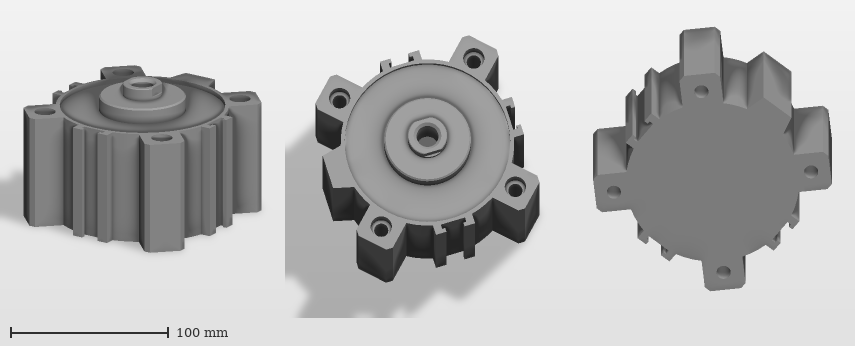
import cadquery as cq
import math

housing_height = 72.5
square_side = 120.0
barrel_diameter = 110.0

lug_width = 26.0
lug_reach = 75.0
bolt_spacing = 89.0
bolt_hole_diameter = 9.0
counterbore_diameter = 13.5
counterbore_depth = 8.5

rail_angles = (-90, 0, 90)
rail_width = 26.0
slot_opening = 12.0
slot_inner_width = 16.0
slot_depth = 5.5
slot_lip = 2.6

rib_reach = 66.0
rib_outer_width = 22.4
rib_side_angle = 14

recess_diameter = 105.0
recess_depth = 3.0
collar_diameter = 55.0
collar_rise = 7.0
collar_chamfer = 1.0

rod_diameter = 25.0
rod_rise = 8.0
rod_sunk_length = 37.8
rod_edge_chamfer = 0.5
flat_spacing = 22.0
flat_height = 5.5
rod_hole_diameter = 13.9
rod_hole_mouth_diameter = 17.5
rod_hole_depth = 25.2

collar_top = housing_height + collar_rise
rod_top = collar_top + rod_rise
rod_bottom = collar_top - rod_sunk_length
recess_floor = housing_height - recess_depth
half_side = square_side / 2
mouth_depth = (rod_hole_mouth_diameter - rod_hole_diameter) / 2


def cylinder(diameter, bottom, top):
    return cq.Workplane("XY").workplane(offset=bottom).circle(diameter / 2).extrude(top - bottom)


def make_lugs():
    """Two diagonal bars give the four lugs; the square trims their corners."""
    bars = (
        cq.Workplane("XY")
        .polarArray(0, 45, 90, 2)
        .rect(2 * lug_reach, lug_width)
        .extrude(housing_height)
    )
    square = cq.Workplane("XY").rect(square_side, square_side).extrude(housing_height)
    return bars.intersect(square)


def make_rail():
    """Solid rail on the -Y side, rooted at the axis."""
    return (
        cq.Workplane("XY")
        .center(0, -half_side / 2)
        .rect(rail_width, half_side)
        .extrude(housing_height)
    )


def make_rail_slot():
    """T-slot of the -Y rail; its floor cuts slightly into the barrel."""
    slot_floor = slot_depth - half_side
    lip_back = slot_lip - half_side
    return (
        cq.Workplane("XY")
        .moveTo(0, -half_side)
        .lineTo(slot_opening / 2, -half_side)
        .lineTo(slot_opening / 2, lip_back)
        .lineTo(slot_inner_width / 2, lip_back)
        .lineTo(slot_inner_width / 2, slot_floor)
        .lineTo(0, slot_floor)
        .mirrorY()
        .extrude(housing_height)
    )


def make_rib():
    """Rib that narrows outwards, rooted inside the barrel."""
    root_y = barrel_diameter / 4
    outer_half = rib_outer_width / 2
    root_half = outer_half + (rib_reach - root_y) * math.tan(math.radians(rib_side_angle))
    return (
        cq.Workplane("XY")
        .polyline([
            (-root_half, root_y),
            (root_half, root_y),
            (outer_half, rib_reach),
            (-outer_half, rib_reach),
        ])
        .close()
        .extrude(housing_height)
    )


def make_housing():
    housing = cylinder(barrel_diameter, 0, housing_height).union(make_lugs()).union(make_rib())
    for angle in rail_angles:
        housing = housing.union(make_rail().rotate((0, 0, 0), (0, 0, 1), angle))
        housing = housing.cut(make_rail_slot().rotate((0, 0, 0), (0, 0, 1), angle))

    housing = housing.cut(cylinder(recess_diameter, recess_floor, housing_height))
    collar = cylinder(collar_diameter, recess_floor, collar_top).faces(">Z").chamfer(collar_chamfer)
    housing = housing.union(collar)

    bolt_holes = (
        cq.Workplane("XY")
        .workplane(offset=housing_height)
        .rect(bolt_spacing, bolt_spacing, forConstruction=True)
        .vertices()
    )
    counterbores = bolt_holes.circle(counterbore_diameter / 2).extrude(-counterbore_depth)
    through_holes = bolt_holes.circle(bolt_hole_diameter / 2).extrude(-housing_height)
    housing = housing.cut(counterbores).cut(through_holes)

    return housing.cut(cylinder(rod_diameter, rod_bottom, collar_top))


def make_rod():
    rod = cylinder(rod_diameter, rod_bottom, rod_top).faces(">Z").chamfer(rod_edge_chamfer)

    flat_bottom = rod_top - flat_height
    between_flats = (
        cq.Workplane("XY")
        .workplane(offset=flat_bottom)
        .rect(flat_spacing, rod_diameter)
        .extrude(flat_height)
    )
    outside_flats = cylinder(rod_diameter, flat_bottom, rod_top).cut(between_flats)
    rod = rod.cut(outside_flats)

    rod = rod.cut(cylinder(rod_hole_diameter, rod_top - rod_hole_depth, rod_top))
    mouth = cq.Solid.makeCone(
        rod_hole_diameter / 2,
        rod_hole_mouth_diameter / 2,
        mouth_depth,
        pnt=cq.Vector(0, 0, rod_top - mouth_depth),
    )
    return rod.cut(cq.Workplane(mouth))


housing = make_housing()
rod = make_rod()

result = cq.Compound.makeCompound([housing.val(), rod.val()])